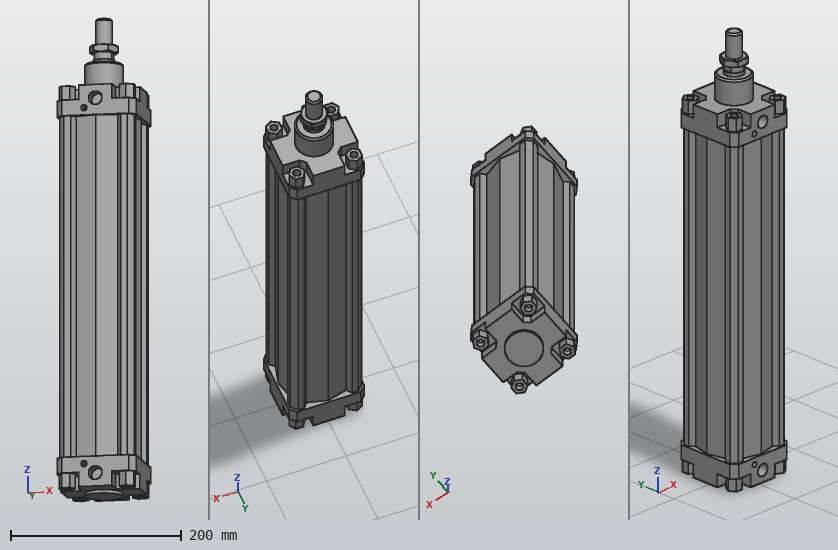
import cadquery as cq
import math


TOTAL_LENGTH = 568.0
HEXAGON_SIDES = 6

CAP_SIDE = 95.0
CAP_HALF = CAP_SIDE / 2
CAP_HEIGHT = 36.0
CAP_CORNER_CHAMFER = 7.5
REAR_CAP_BOTTOM = 4.0
FRONT_CAP_TOP = 482.0
REAR_CAP_TOP = REAR_CAP_BOTTOM + CAP_HEIGHT
FRONT_CAP_BOTTOM = FRONT_CAP_TOP - CAP_HEIGHT

POCKET_DEPTH = 17.0
POCKET_INNER = 20.0
POCKET_CHAMFER = 6.0
POST_SPACING = 72.0
POST_ACROSS_FLATS = 17.0
SCREW_HOLE_DIAMETER = 9.0
SCREW_HOLE_DEPTH = 11.5
SCREW_TIP_DEPTH = 3.0

PORT_DIAMETER = 16.0
PORT_DEPTH = 17.0
PORT_FROM_INNER_FACE = 20.0
SIDE_HOLE_DIAMETER = 7.0
SIDE_HOLE_DEPTH = 17.0
SIDE_HOLE_X = -13.5
SIDE_HOLE_FROM_INNER_FACE = 8.5

BARREL_HALF = 45.0
BARREL_CORNER_X = 38.0
BARREL_LAND_X = 30.0
BARREL_VALLEY_X = 25.0
BARREL_VALLEY_DEPTH = 6.0

BOSS_RADIUS = 23.0
FRONT_BOSS_TOP = 514.5
BOSS_CHAMFER = 2.0

ROD_RADIUS = 12.5
ROD_BOTTOM = FRONT_CAP_BOTTOM
NECK_RADIUS = 12.0
NECK_BOTTOM = 519.0
ROD_SHOULDER = 527.5
THREAD_DIAMETER = 20.0
THREAD_RADIUS = THREAD_DIAMETER / 2
THREAD_CHAMFER = 2.0
FLATS_WIDTH = 21.0

NUT_ACROSS_FLATS = 30.0
NUT_HEIGHT = 8.5
NUT_CHAMFER_ANGLE = math.radians(30)


def screw_hole():
    """Blind hole with a conical end, going down from z = 0."""
    radius = SCREW_HOLE_DIAMETER / 2
    return (
        cq.Workplane("XZ")
        .moveTo(0, 0)
        .lineTo(radius, 0)
        .lineTo(radius, -SCREW_HOLE_DEPTH)
        .lineTo(0, -SCREW_HOLE_DEPTH - SCREW_TIP_DEPTH)
        .close()
        .revolve(360, (0, 0), (0, 1))
    )


def corner_pocket():
    """Pocket of the +X +Y corner, its inner corner chamfered."""
    return (
        cq.Workplane("XY", origin=(0, 0, CAP_HEIGHT - POCKET_DEPTH))
        .moveTo(POCKET_INNER + POCKET_CHAMFER, POCKET_INNER)
        .lineTo(CAP_SIDE, POCKET_INNER)
        .lineTo(CAP_SIDE, CAP_SIDE)
        .lineTo(POCKET_INNER, CAP_SIDE)
        .lineTo(POCKET_INNER, POCKET_INNER + POCKET_CHAMFER)
        .close()
        .extrude(POCKET_DEPTH)
    )


def corner_post():
    """Hexagonal post of the +X +Y corner, two of its flats facing -Y and +Y."""
    corner_diameter = POST_ACROSS_FLATS / math.cos(math.pi / HEXAGON_SIDES)
    return (
        cq.Workplane("XY")
        .polygon(HEXAGON_SIDES, corner_diameter)
        .extrude(POCKET_DEPTH)
        .translate((POST_SPACING / 2, POST_SPACING / 2, CAP_HEIGHT - POCKET_DEPTH))
    )


def end_cap():
    """Cap with its inner face at z = 0 and its pockets open at the top."""
    cap = (
        cq.Workplane("XY")
        .rect(CAP_SIDE, CAP_SIDE)
        .extrude(CAP_HEIGHT)
        .edges("|Z")
        .chamfer(CAP_CORNER_CHAMFER)
    )
    hole = screw_hole().translate((POST_SPACING / 2, POST_SPACING / 2, CAP_HEIGHT))
    for angle in (0, 90, 180, 270):
        axis = ((0, 0, 0), (0, 0, 1), angle)
        cap = cap.cut(corner_pocket().rotate(*axis))
        cap = cap.union(corner_post().rotate(*axis))
        cap = cap.cut(hole.rotate(*axis))
    return cap


def side_hole(x, z, diameter, depth):
    """Cylinder to cut from the -Y face of a cap."""
    return (
        cq.Workplane("XZ", origin=(x, -CAP_HALF, z))
        .circle(diameter / 2)
        .extrude(-depth)
    )


def cap_side_holes(inner_face, outward):
    """Air port and cushioning hole of one cap; outward is +1 or -1 along Z."""
    port = side_hole(0, inner_face + outward * PORT_FROM_INNER_FACE, PORT_DIAMETER, PORT_DEPTH)
    cushion_z = inner_face + outward * SIDE_HOLE_FROM_INNER_FACE
    return port.union(side_hole(SIDE_HOLE_X, cushion_z, SIDE_HOLE_DIAMETER, SIDE_HOLE_DEPTH))


def barrel():
    """Extruded profile: each side rises to a ridge in the middle between two valleys."""
    valley = BARREL_HALF - BARREL_VALLEY_DEPTH
    side = [
        (-BARREL_CORNER_X, -BARREL_HALF),
        (-BARREL_LAND_X, -BARREL_HALF),
        (-BARREL_VALLEY_X, -valley),
        (0, -BARREL_HALF),
        (BARREL_VALLEY_X, -valley),
        (BARREL_LAND_X, -BARREL_HALF),
        (BARREL_CORNER_X, -BARREL_HALF),
    ]
    outline = []
    for _ in range(4):
        outline += side
        side = [(-y, x) for x, y in side]
    return (
        cq.Workplane("XY", origin=(0, 0, REAR_CAP_TOP))
        .polyline(outline)
        .close()
        .extrude(FRONT_CAP_BOTTOM - REAR_CAP_TOP)
    )


def make_housing():
    front_cap = end_cap().translate((0, 0, FRONT_CAP_BOTTOM))
    rear_cap = end_cap().mirror("XY").translate((0, 0, REAR_CAP_TOP))
    front_boss = (
        cq.Workplane("XY", origin=(0, 0, FRONT_CAP_TOP))
        .circle(BOSS_RADIUS)
        .extrude(FRONT_BOSS_TOP - FRONT_CAP_TOP)
        .faces(">Z")
        .chamfer(BOSS_CHAMFER)
    )
    rear_boss = cq.Workplane("XY").circle(BOSS_RADIUS).extrude(REAR_CAP_BOTTOM)
    rod_bore = (
        cq.Workplane("XY", origin=(0, 0, ROD_BOTTOM))
        .circle(ROD_RADIUS)
        .extrude(FRONT_BOSS_TOP - ROD_BOTTOM)
    )
    return (
        barrel()
        .union(front_cap)
        .union(rear_cap)
        .union(front_boss)
        .union(rear_boss)
        .cut(cap_side_holes(FRONT_CAP_BOTTOM, 1))
        .cut(cap_side_holes(REAR_CAP_TOP, -1))
        .cut(rod_bore)
    )


def make_piston_rod():
    shaft = (
        cq.Workplane("XY", origin=(0, 0, ROD_BOTTOM))
        .circle(ROD_RADIUS)
        .extrude(NECK_BOTTOM - ROD_BOTTOM)
    )
    neck_base = cq.Workplane("XY", origin=(0, 0, NECK_BOTTOM))
    neck_height = ROD_SHOULDER - NECK_BOTTOM
    flats = neck_base.rect(FLATS_WIDTH, 2 * NECK_RADIUS).extrude(neck_height)
    neck = neck_base.circle(NECK_RADIUS).extrude(neck_height).intersect(flats)
    thread = (
        cq.Workplane("XY", origin=(0, 0, ROD_SHOULDER))
        .circle(THREAD_RADIUS)
        .extrude(TOTAL_LENGTH - ROD_SHOULDER)
        .faces(">Z")
        .chamfer(THREAD_CHAMFER)
    )
    return shaft.union(neck).union(thread)


def make_nut():
    """Hexagon nut on the rod shoulder, its corners bevelled at both ends."""
    flat_radius = NUT_ACROSS_FLATS / 2
    corner_radius = flat_radius / math.cos(math.pi / HEXAGON_SIDES)
    bevel_height = (corner_radius - flat_radius) * math.tan(NUT_CHAMFER_ANGLE)
    bevelled_round = (
        cq.Workplane("XZ")
        .moveTo(0, 0)
        .lineTo(flat_radius, 0)
        .lineTo(corner_radius, bevel_height)
        .lineTo(corner_radius, NUT_HEIGHT - bevel_height)
        .lineTo(flat_radius, NUT_HEIGHT)
        .lineTo(0, NUT_HEIGHT)
        .close()
        .revolve(360, (0, 0), (0, 1))
    )
    bore = cq.Workplane("XY").circle(THREAD_RADIUS).extrude(NUT_HEIGHT)
    return (
        cq.Workplane("XY")
        .polygon(HEXAGON_SIDES, 2 * corner_radius)
        .extrude(NUT_HEIGHT)
        .intersect(bevelled_round)
        .cut(bore)
        .translate((0, 0, ROD_SHOULDER))
    )


housing = make_housing()
piston_rod = make_piston_rod()
nut = make_nut()

result = cq.Compound.makeCompound([housing.val(), piston_rod.val(), nut.val()])